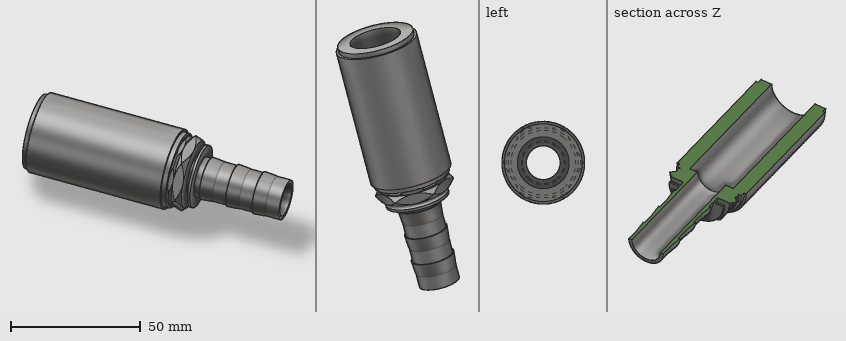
import cadquery as cq
import math

total_length = 103.0

sleeve_diameter = 32.0
lip_diameter = 30.0
lip_length = 2.0
sleeve_end = 59.0

nut_across_flats = 27.0
narrow_nut_width = 1.9
wide_nut_width = 4.1
nut_end_radius = nut_across_flats / 2

tail_diameter = 16.0
collar_diameter = 25.0
collar_start = 67.1
collar_thickness = 1.0
barb_diameter = 17.0
barb_count = 3
first_barb = 70.5
barb_pitch = 10.8
barb_length = barb_pitch / 2
barb_bulge = 0.08

socket_diameter = 20.0
socket_depth = sleeve_end - lip_length
passage_diameter = 13.0


def rod(diameter, start, end):
    """Solid cylinder along X between two positions."""
    return cq.Workplane("YZ", origin=(start, 0, 0)).circle(diameter / 2).extrude(end - start)


def revolve_about_x(outline):
    """Turn a closed outline, drawn in X and radius, into a solid of revolution."""
    return outline.close().revolve(360, (0, 0, 0), (1, 0, 0))


def hex_nut(start, width):
    """Hexagon with flats facing +Z and -Z, cut by 45 degree cones from both ends."""
    across_corners = nut_across_flats / math.cos(math.pi / 6)
    hexagon = cq.Workplane("YZ", origin=(start, 0, 0)).polygon(6, across_corners).extrude(width)
    bevels = revolve_about_x(
        cq.Workplane("XY")
        .moveTo(start, 0)
        .lineTo(start, nut_end_radius)
        .lineTo(start + width / 2, nut_end_radius + width / 2)
        .lineTo(start + width, nut_end_radius)
        .lineTo(start + width, 0)
    )
    return hexagon.intersect(bevels)


def barb(start):
    """Barb with a sharp shoulder and a slightly bowed flank falling to the tail."""
    end = start + barb_length
    middle_radius = (barb_diameter + tail_diameter) / 4 + barb_bulge
    return revolve_about_x(
        cq.Workplane("XY")
        .moveTo(start, 0)
        .lineTo(start, barb_diameter / 2)
        .threePointArc((start + barb_length / 2, middle_radius), (end, tail_diameter / 2))
        .lineTo(end, 0)
    )


body = rod(lip_diameter, 0, sleeve_end)
body = body.union(rod(sleeve_diameter, lip_length, sleeve_end - lip_length))

body = body.union(rod(tail_diameter, socket_depth, total_length))
body = body.union(rod(collar_diameter, collar_start, collar_start + collar_thickness))
for index in range(barb_count):
    body = body.union(barb(first_barb + index * barb_pitch))

wide_nut_start = sleeve_end + narrow_nut_width
body = body.union(hex_nut(sleeve_end, narrow_nut_width))
body = body.union(hex_nut(wide_nut_start, wide_nut_width))

body = body.cut(rod(socket_diameter, 0, socket_depth))
result = body.cut(rod(passage_diameter, 0, total_length))